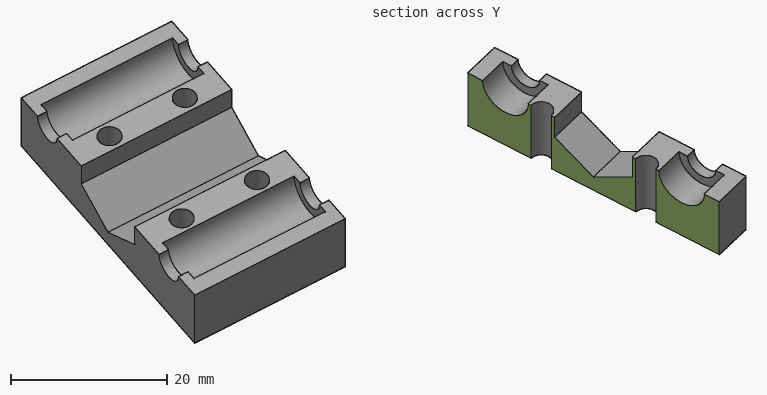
import cadquery as cq
import math

length = 40.0
width = 23.2
height = 9.5

channel_half_width = 6.15
vee_bottom_height = 2.45
vee_slope_angle = 30.0

seat_offset = 14.0
seat_diameter = 7.2
passage_diameter = 4.5
end_wall = 1.5

hole_diameter = 3.2
hole_offset_x = 8.3
hole_offset_y = width / 4


def groove(x, diameter, groove_length):
    """Cylinder along Y, centred on Y = 0, whose axis lies in the top face."""
    return (
        cq.Workplane("XZ", origin=(x, groove_length / 2, height))
        .circle(diameter / 2)
        .extrude(groove_length)
    )


def block_with_channel():
    vee_top_height = vee_bottom_height + channel_half_width * math.tan(math.radians(vee_slope_angle))
    profile = [
        (-length / 2, 0),
        (length / 2, 0),
        (length / 2, height),
        (channel_half_width, height),
        (channel_half_width, vee_top_height),
        (0, vee_bottom_height),
        (-channel_half_width, vee_top_height),
        (-channel_half_width, height),
        (-length / 2, height),
    ]
    return cq.Workplane("XZ", origin=(0, width / 2, 0)).polyline(profile).close().extrude(width)


def screw_holes():
    return (
        cq.Workplane("XY")
        .rect(2 * hole_offset_x, 2 * hole_offset_y, forConstruction=True)
        .vertices()
        .circle(hole_diameter / 2)
        .extrude(height)
    )


result = block_with_channel().cut(screw_holes())
for side in (-1, 1):
    seat_x = side * seat_offset
    result = result.cut(groove(seat_x, seat_diameter, width - 2 * end_wall))
    result = result.cut(groove(seat_x, passage_diameter, width))